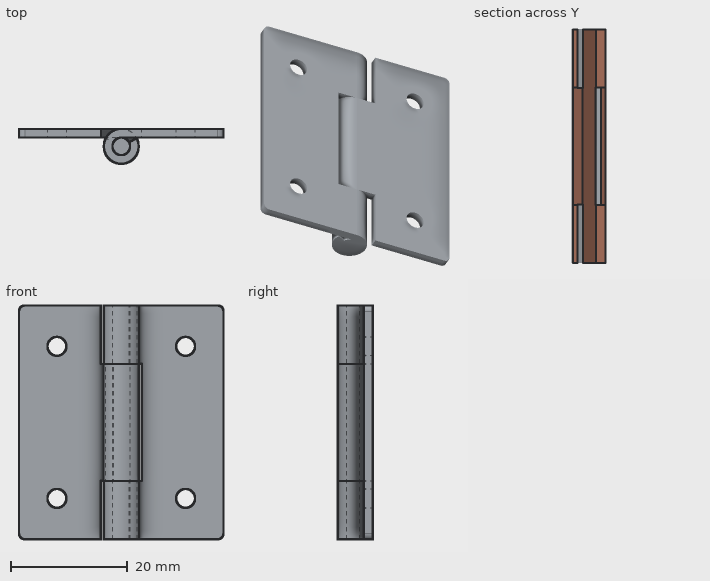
import cadquery as cq
import math


hinge_height = 40.0
hinge_width = 35.0
sheet_thickness = 1.5
pin_radius = 1.5
center_knuckle_height = 20.0
knuckle_clearance = 0.5
roll_gap = 0.1
corner_radius = 1.0
hole_diameter = 3.2
hole_spacing_x = 22.0
hole_spacing_z = 26.0

knuckle_radius = pin_radius + sheet_thickness
end_knuckle_height = (hinge_height - center_knuckle_height) / 2
leaf_edge_x = knuckle_radius + knuckle_clearance
leaf_outer_x = hinge_width / 2
leaf_width = leaf_outer_x - leaf_edge_x

roll_end_angle = math.asin((pin_radius - roll_gap) / knuckle_radius)

center_knuckles = [(-center_knuckle_height / 2, center_knuckle_height)]
end_knuckles = [
    (-hinge_height / 2, end_knuckle_height),
    (center_knuckle_height / 2, end_knuckle_height),
]


def polar_point(radius, angle):
    return (radius * math.cos(angle), radius * math.sin(angle))


def make_plate():
    """Flat part of a leaf on the +X side, with rounded outer corners."""
    return (
        cq.Workplane("XY")
        .box(leaf_width, sheet_thickness, hinge_height, centered=(False, False, True))
        .translate((leaf_edge_x, pin_radius, 0))
        .edges("|Y and >X")
        .fillet(corner_radius)
    )


def make_knuckle(bottom_z, height):
    """Strip that leaves the plate and rolls around the pin, almost back to its own inner face."""
    return (
        cq.Workplane("XY", origin=(0, 0, bottom_z))
        .moveTo(leaf_edge_x, knuckle_radius)
        .lineTo(0, knuckle_radius)
        .threePointArc((0, -knuckle_radius), polar_point(knuckle_radius, roll_end_angle))
        .lineTo(*polar_point(pin_radius, roll_end_angle))
        .threePointArc((0, -pin_radius), (0, pin_radius))
        .lineTo(leaf_edge_x, pin_radius)
        .close()
        .extrude(height)
    )


def make_screw_holes():
    """Cutters for the two screw holes of a leaf on the +X side."""
    return (
        cq.Workplane("XZ", origin=(0, knuckle_radius, 0))
        .pushPoints([(hole_spacing_x / 2, side * hole_spacing_z / 2) for side in (-1, 1)])
        .circle(hole_diameter / 2)
        .extrude(sheet_thickness)
    )


def make_leaf(knuckles):
    """Leaf on the +X side carrying the given knuckles."""
    leaf = make_plate()
    for bottom_z, height in knuckles:
        leaf = leaf.union(make_knuckle(bottom_z, height))
    return leaf.cut(make_screw_holes())


def make_pin():
    return cq.Workplane("XY").circle(pin_radius).extrude(hinge_height / 2, both=True)


right_leaf = make_leaf(end_knuckles)
left_leaf = make_leaf(center_knuckles).mirror("YZ")
pin = make_pin()

result = cq.Compound.makeCompound([
    *right_leaf.solids().vals(),
    *left_leaf.solids().vals(),
    *pin.solids().vals(),
])